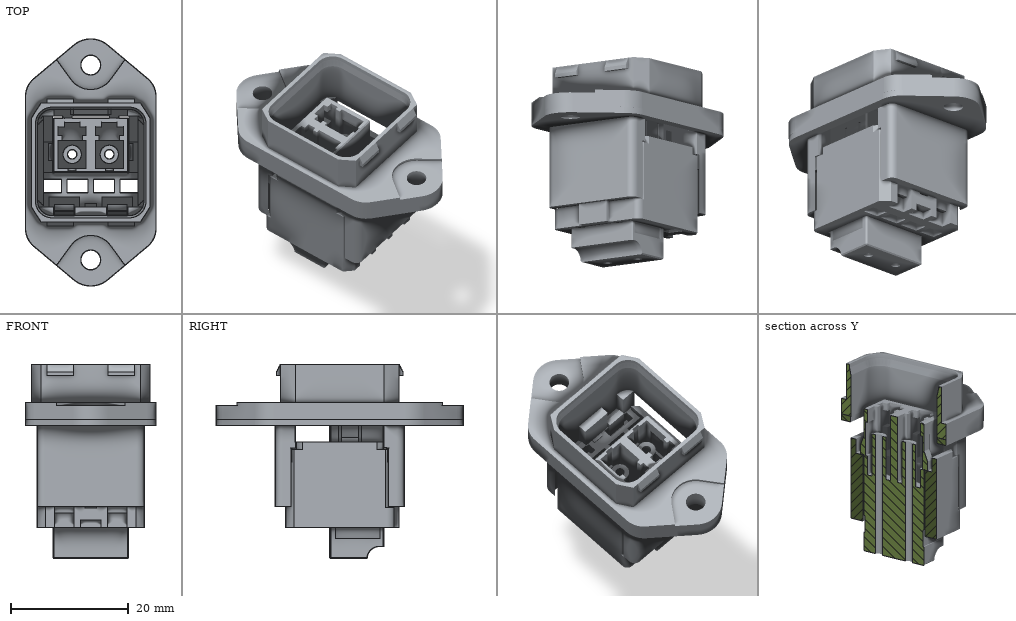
import cadquery as cq
import math

TOTAL_HEIGHT = 33.0
OVERSHOOT = 0.4

FLANGE_WIDTH = 22.2
FLANGE_LENGTH = 42.0
FLANGE_THICKNESS = 2.9
EAR_RADIUS = 4.45
SIDE_SLOPE = 40.0
HOUSING_SIDE_RADIUS = 4.0
GASKET_SIDE_RADIUS = 4.33
GASKET_THICKNESS = 1.05
SCREW_HOLE_DIAMETER = 3.3
SEAT_RADIUS = 4.15
SEAT_DEPTH = 0.5
SEAT_FLANK_ANGLE = 54.0
EAR_CENTER = FLANGE_LENGTH / 2 - EAR_RADIUS
GASKET_TOP = -FLANGE_THICKNESS
GASKET_BOTTOM = GASKET_TOP - GASKET_THICKNESS

SHELL_SIDE = 20.15
SHELL_HEIGHT = 6.45
SHELL_CHAMFER_X = 1.6
SHELL_CHAMFER_Y = 2.55
CAVITY_SIDE = 18.05
CAVITY_RADIUS = 2.5
LIP_DEPTH = 0.67
LIP_INSET = 0.1
MOUTH_SIDE = 18.8
MOUTH_TAPER_DEPTH = 1.3
LATCH_WIDTH = 4.5
LATCH_SPACING = 10.37
LATCH_REACH = 0.67
LATCH_RAMP = 1.3
LATCH_HEIGHT = 1.95

SKIRT_WIDTH = 18.2
SKIRT_LENGTH = 21.92
SKIRT_RADIUS = 1.25
SKIRT_BOTTOM = -17.72
SKIRT_STEP_Z = -7.73
SKIRT_INNER_Y = 7.5
REAR_RELIEF_Y = 7.95
REAR_RELIEF_WIDTH = 16.7
REAR_RELIEF_CHAMFER = 0.25
SKIRT_BORE_CHAMFER = 0.92
FRONT_WINDOW_WIDTH = 3.65
REAR_WINDOW_WIDTH = 12.5
KEY_WIDTH = 1.97
KEY_INNER_Y = 6.97
GUIDE_SPAN = 17.55
GUIDE_BOTTOM = -10.12

CARRIER_WIDTH = SKIRT_WIDTH
CARRIER_HALF_Y = 9.2
CARRIER_CHAMFER = 1.43
CARRIER_ROUND = 1.15
CARRIER_SHOULDER = -8.0
CARRIER_TOP = -6.7
CARRIER_BOTTOM = -21.25
BASE_TOP = -17.85
PLATE_THICKNESS = 1.1
PLATE_LENGTH = 14.6
PLATE_CHAMFER = 1.0
POCKET_WIDTH = 12.95
POCKET_BACK = 7.9
SHELF_EDGE_Y = 3.5
HOOK_SHELF_Z = -9.25
REAR_SHELF_Z = -10.9
WINDOW_FRONT = -5.12
WINDOW_BACK = -2.85
RIB_WIDTH = 0.95
RIB_SPACING = 4.5
FINGER_WIDTH = 3.28
FINGER_SPACING = 9.0
FINGER_FACE_Y = 8.15
FINGER_BACK_Y = 7.15
FINGER_TOP = -6.75
FINGER_LEAD_DROP = 0.2
FINGER_RAMP = 0.65
FINGER_HOOK = 0.85
FINGER_LEAD = 0.15
FINGER_FOOT = -18.77
FLEX_WIDTH = 5.25
FLEX_BACK = 5.9
FLEX_DEPTH = 2.5
KEY_GROOVE_BOTTOM = -17.98
FOOT_NOTCH_WIDTH = 3.45
FOOT_NOTCH_HEIGHT = 1.25
REAR_FINGER_WIDTH = 5.8
REAR_FINGER_FACE_Y = 8.2
REAR_FINGER_HOOK = 0.8
REAR_FINGER_LEAD = 0.3
REAR_CHANNEL_WIDTH = 6.8
REAR_STOP_Y = 10.1
SPACER_WIDTH = 1.65
SPACER_SPACING = 7.95

ADAPTER_WIDTH = 12.85
ADAPTER_FRONT = -1.72
ADAPTER_BACK = 7.5
ADAPTER_TOP = -0.9
ADAPTER_BOTTOM = SHELL_HEIGHT - TOTAL_HEIGHT
ADAPTER_CHAMFER = 0.2
SCOOP_RADIUS = 2.05
SCOOP_CENTER_Y = 6.7
PORT_SPACING = 6.3
PORT_SIDE = 4.75
PORT_CENTER_Y = 1.4
PORT_DEPTH = 11.75
LATCH_SLOT_DEPTH = 8.4
NECK_WIDTH = 3.53
NECK_TOP = 4.6
SHOULDER_TOP = 6.05
CROWN_WIDTH = 2.7
CROWN_TOP = 6.8
LUG_WINDOW_TOP = -2.2
LUG_WINDOW_BOTTOM = -5.12
KEYWAY_WIDTH = 1.35
KEYWAY_REACH = 0.4
KEYWAY_DEPTH = 5.9
SLEEVE_DIAMETER = 3.1
SLEEVE_TOP = -5.05
FERRULE_DIAMETER = 1.55
ARM_CENTER_Y = 1.75
ARM_WIDTH = 2.9
ARM_GROOVE_WIDTH = 0.5
ARM_GROOVE_DEPTH = 0.2
ARM_THICKNESS = 0.45
ARM_TOP = -3.28
HOOK_TOP = -5.92
HOOK_RAMP = 1.7
HOOK_REACH = 0.75
GRIP_FRONT = -0.7
GRIP_BACK = 6.8
GRIP_BOTTOM = -23.15
GRIP_TOP = -20.15
GRIP_DEPTH = 0.2


def block(x0, x1, y0, y1, z0, z1):
    """Box between two opposite corners."""
    size = (x1 - x0, y1 - y0, z1 - z0)
    return cq.Workplane("XY").box(*size, centered=False).translate((x0, y0, z0))


def centered_block(x, width, y0, y1, z0, z1):
    """Box of a given width centred on x."""
    return block(x - width / 2, x + width / 2, y0, y1, z0, z1)


def prism_along_x(points, x, width):
    """(Y, Z) outline swept along X, centred on x."""
    return cq.Workplane("YZ").polyline(points).close().extrude(width / 2, both=True).translate((x, 0, 0))


def rounded_plate(width, length, radius, z0, z1):
    """Upright block with rounded vertical edges."""
    plate = cq.Workplane("XY", origin=(0, 0, z0)).rect(width, length).extrude(z1 - z0)
    return plate.edges("|Z").fillet(radius)


def carrier_body(z0, z1):
    """Block with four chamfered corners, the main cross-section of the carrier."""
    body = centered_block(0, CARRIER_WIDTH, -CARRIER_HALF_Y, CARRIER_HALF_Y, z0, z1)
    return body.edges("|Z").chamfer(CARRIER_CHAMFER)


def flange_plate(side_radius, z0, z1):
    """Six-sided plate with rounded ears at +Y and -Y, rounded sides and two screw holes."""
    slope = math.radians(SIDE_SLOPE)
    half_width = FLANGE_WIDTH / 2
    apex = EAR_CENTER + EAR_RADIUS / math.cos(slope)
    corner_y = apex - half_width * math.tan(slope)
    outline = [
        (half_width, -corner_y),
        (half_width, corner_y),
        (0, apex),
        (-half_width, corner_y),
        (-half_width, -corner_y),
        (0, -apex),
    ]
    plate = cq.Workplane("XY", origin=(0, 0, z0)).polyline(outline).close().extrude(z1 - z0)
    plate = plate.edges("|Z and (>Y or <Y)").fillet(EAR_RADIUS)
    plate = plate.edges("|Z and (>X or <X)").fillet(side_radius)
    ears = [(0, EAR_CENTER), (0, -EAR_CENTER)]
    holes = (
        cq.Workplane("XY", origin=(0, 0, z0)).pushPoints(ears).circle(SCREW_HOLE_DIAMETER / 2)
        .extrude(z1 - z0)
    )
    return plate.cut(holes)


def screw_seat():
    """Shallow recess around the +Y screw hole, opening outwards."""
    opening = math.radians(SEAT_FLANK_ANGLE)
    tangent = (SEAT_RADIUS * math.sin(opening), EAR_CENTER - SEAT_RADIUS * math.cos(opening))
    reach = FLANGE_WIDTH / 2
    far = (tangent[0] + reach * math.cos(opening), tangent[1] + reach * math.sin(opening))
    return (
        cq.Workplane("XY", origin=(0, 0, -SEAT_DEPTH))
        .moveTo(-tangent[0], tangent[1])
        .threePointArc((0, EAR_CENTER - SEAT_RADIUS), tangent)
        .lineTo(*far)
        .lineTo(-far[0], far[1])
        .close()
        .extrude(SEAT_DEPTH + OVERSHOOT)
    )


def shell_block():
    half = SHELL_SIDE / 2
    corner_x = half - SHELL_CHAMFER_X
    corner_y = half - SHELL_CHAMFER_Y
    outline = [
        (half, corner_y), (corner_x, half), (-corner_x, half), (-half, corner_y),
        (-half, -corner_y), (-corner_x, -half), (corner_x, -half), (half, -corner_y),
    ]
    return cq.Workplane("XY").polyline(outline).close().extrude(SHELL_HEIGHT)


def tapered_mouth(side, inset, depth, z_top):
    """Rounded square cutter that narrows by an inset on each side over its depth."""
    radius = CAVITY_RADIUS + (side - CAVITY_SIDE) / 2
    outline = cq.Sketch().rect(side, side).vertices().fillet(radius)
    taper = math.degrees(math.atan2(inset, depth))
    return cq.Workplane("XY", origin=(0, 0, z_top)).placeSketch(outline).extrude(-depth, taper=taper)


def shell_cavity():
    """Opening through shell and flange with a stepped, tapered mouth."""
    lip = tapered_mouth(MOUTH_SIDE, LIP_INSET, LIP_DEPTH, SHELL_HEIGHT)
    throat_side = MOUTH_SIDE - 2 * LIP_INSET
    throat_inset = (throat_side - CAVITY_SIDE) / 2
    throat = tapered_mouth(throat_side, throat_inset, MOUTH_TAPER_DEPTH, SHELL_HEIGHT - LIP_DEPTH)
    well = rounded_plate(CAVITY_SIDE, CAVITY_SIDE, CAVITY_RADIUS, GASKET_TOP, SHELL_HEIGHT)
    return well.union(throat).union(lip)


def shell_latch(x):
    """Ramped catch on the +Y wall of the shell."""
    wall = SHELL_SIDE / 2
    profile = [
        (wall, SHELL_HEIGHT),
        (wall + LATCH_REACH, SHELL_HEIGHT - LATCH_RAMP),
        (wall + LATCH_REACH, SHELL_HEIGHT - LATCH_HEIGHT),
        (wall, SHELL_HEIGHT - LATCH_HEIGHT),
    ]
    return prism_along_x(profile, x, LATCH_WIDTH)


def skirt():
    """Front and rear walls below the flange, open at both X sides, with a key and corner guides."""
    walls = rounded_plate(SKIRT_WIDTH, SKIRT_LENGTH, SKIRT_RADIUS, SKIRT_BOTTOM, GASKET_TOP)
    walls = walls.cut(
        centered_block(0, SKIRT_WIDTH, -SKIRT_INNER_Y, SKIRT_INNER_Y, SKIRT_BOTTOM, GASKET_TOP)
    )
    relief = centered_block(
        0, REAR_RELIEF_WIDTH, 0, REAR_RELIEF_Y, SKIRT_BOTTOM, GASKET_TOP
    ).edges("|Z and >Y").chamfer(REAR_RELIEF_CHAMFER)
    bore = centered_block(
        0, SKIRT_WIDTH, -CARRIER_HALF_Y, CARRIER_HALF_Y, SKIRT_BOTTOM, SKIRT_STEP_Z
    ).edges("|Z").chamfer(SKIRT_BORE_CHAMFER)
    walls = walls.cut(relief).cut(bore)
    half_cavity = CAVITY_SIDE / 2
    for x in (-FINGER_SPACING / 2, FINGER_SPACING / 2):
        walls = walls.cut(
            centered_block(x, FRONT_WINDOW_WIDTH, -half_cavity, 0, SKIRT_STEP_Z, GASKET_TOP)
        )
    walls = walls.cut(
        centered_block(0, REAR_WINDOW_WIDTH, 0, half_cavity, SKIRT_STEP_Z, GASKET_TOP)
    )
    key = centered_block(0, KEY_WIDTH, -CARRIER_HALF_Y, -KEY_INNER_Y, SKIRT_BOTTOM, SKIRT_STEP_Z)
    guides = centered_block(
        0, GUIDE_SPAN, -CARRIER_HALF_Y, CARRIER_HALF_Y, GUIDE_BOTTOM, SKIRT_STEP_Z
    ).cut(carrier_body(GUIDE_BOTTOM, SKIRT_STEP_Z))
    return walls.union(key).union(guides)


def make_housing():
    body = flange_plate(HOUSING_SIDE_RADIUS, GASKET_TOP, 0).union(shell_block())
    seat = screw_seat()
    body = body.cut(seat).cut(seat.mirror("XZ")).cut(shell_cavity())
    for x in (-LATCH_SPACING / 2, LATCH_SPACING / 2):
        latch = shell_latch(x)
        body = body.union(latch).union(latch.mirror("XZ"))
    return body.union(skirt())


def make_gasket():
    plate = flange_plate(GASKET_SIDE_RADIUS, GASKET_BOTTOM, GASKET_TOP)
    return plate.cut(rounded_plate(SKIRT_WIDTH, SKIRT_LENGTH, SKIRT_RADIUS, GASKET_BOTTOM, GASKET_TOP))


def carrier_block():
    """Solid carrier: chamfered body, base with rounded rear corners and two upright side plates."""
    body = carrier_body(BASE_TOP, CARRIER_SHOULDER)
    base = centered_block(
        0, CARRIER_WIDTH, -CARRIER_HALF_Y, CARRIER_HALF_Y, CARRIER_BOTTOM, BASE_TOP
    )
    base = base.edges("|Z and <Y").chamfer(CARRIER_CHAMFER).edges("|Z and >Y").fillet(CARRIER_ROUND)
    plates = centered_block(
        0, CARRIER_WIDTH, -PLATE_LENGTH / 2, PLATE_LENGTH / 2, CARRIER_SHOULDER, CARRIER_TOP
    ).edges("|Z").chamfer(PLATE_CHAMFER)
    inner_width = CARRIER_WIDTH - 2 * PLATE_THICKNESS
    between = centered_block(
        0, inner_width, -PLATE_LENGTH / 2, PLATE_LENGTH / 2, CARRIER_SHOULDER, CARRIER_TOP
    )
    return body.union(base).union(plates.cut(between))


def carrier_openings():
    """Adapter pocket, the shelves beside it and the four windows in front of it."""
    inner_width = CARRIER_WIDTH - 2 * PLATE_THICKNESS
    pocket = centered_block(
        0, POCKET_WIDTH, ADAPTER_FRONT, POCKET_BACK, CARRIER_BOTTOM, CARRIER_SHOULDER
    )
    hook_shelf = centered_block(
        0, inner_width, ADAPTER_FRONT, SHELF_EDGE_Y, HOOK_SHELF_Z, CARRIER_SHOULDER
    )
    rear_shelf = centered_block(
        0, inner_width, SHELF_EDGE_Y, POCKET_BACK, REAR_SHELF_Z, CARRIER_SHOULDER
    )
    windows = centered_block(
        0, inner_width, WINDOW_FRONT, WINDOW_BACK, CARRIER_BOTTOM, CARRIER_SHOULDER
    )
    for x in (-RIB_SPACING, 0, RIB_SPACING):
        windows = windows.cut(
            centered_block(x, RIB_WIDTH, WINDOW_FRONT, WINDOW_BACK, CARRIER_BOTTOM, CARRIER_SHOULDER)
        )
    return pocket.union(hook_shelf).union(rear_shelf).union(windows)


def snap_finger(x, width, back_y, face_y, hook, lead):
    """Upright finger above the shoulder; its hook faces +Y and has a lead-in and a ramp."""
    profile = [
        (back_y, CARRIER_SHOULDER),
        (back_y, FINGER_TOP),
        (face_y, FINGER_TOP),
        (face_y + lead, FINGER_TOP - FINGER_LEAD_DROP),
        (face_y + hook, FINGER_TOP - FINGER_RAMP),
        (face_y + hook, SKIRT_STEP_Z),
        (face_y, SKIRT_STEP_Z),
        (face_y, CARRIER_SHOULDER),
    ]
    return prism_along_x(profile, x, width)


def front_finger_cuts(x):
    """Channel in front of a finger, notch under its foot and room for it to flex behind."""
    channel = centered_block(
        x, FINGER_WIDTH, -CARRIER_HALF_Y, -FINGER_FACE_Y, CARRIER_BOTTOM, CARRIER_SHOULDER
    )
    notch = centered_block(
        x, FINGER_WIDTH, -CARRIER_HALF_Y, -FINGER_BACK_Y, CARRIER_BOTTOM, FINGER_FOOT
    )
    flex_room = centered_block(
        x, FLEX_WIDTH, -SKIRT_INNER_Y, -FLEX_BACK, CARRIER_SHOULDER - FLEX_DEPTH, CARRIER_SHOULDER
    )
    finger_root = centered_block(
        x, FINGER_WIDTH, -SKIRT_INNER_Y, -FINGER_BACK_Y, CARRIER_SHOULDER - FLEX_DEPTH, CARRIER_SHOULDER
    )
    return channel.union(notch).union(flex_room.cut(finger_root))


def make_carrier():
    body = carrier_block().cut(carrier_openings())
    for x in (-FINGER_SPACING / 2, FINGER_SPACING / 2):
        finger = snap_finger(x, FINGER_WIDTH, FINGER_BACK_Y, FINGER_FACE_Y, FINGER_HOOK, FINGER_LEAD)
        body = body.cut(front_finger_cuts(x)).union(finger.mirror("XZ"))
    key_groove = centered_block(
        0, KEY_WIDTH, -CARRIER_HALF_Y, -KEY_INNER_Y, KEY_GROOVE_BOTTOM, CARRIER_SHOULDER
    )
    foot_notch = centered_block(
        0, FOOT_NOTCH_WIDTH, -CARRIER_HALF_Y, -FINGER_BACK_Y,
        CARRIER_BOTTOM, CARRIER_BOTTOM + FOOT_NOTCH_HEIGHT,
    )
    body = body.cut(key_groove).cut(foot_notch)
    rear_channel = centered_block(
        0, REAR_CHANNEL_WIDTH, REAR_FINGER_FACE_Y, CARRIER_HALF_Y, BASE_TOP, CARRIER_SHOULDER
    )
    rear_finger = snap_finger(
        0, REAR_FINGER_WIDTH, POCKET_BACK, REAR_FINGER_FACE_Y, REAR_FINGER_HOOK, REAR_FINGER_LEAD
    )
    body = body.cut(rear_channel).union(rear_finger)
    rear_stop = centered_block(
        0, REAR_FINGER_WIDTH, POCKET_BACK, REAR_STOP_Y, CARRIER_BOTTOM, SKIRT_BOTTOM
    )
    body = body.union(rear_stop)
    for x in (-SPACER_SPACING / 2, SPACER_SPACING / 2):
        body = body.union(
            centered_block(x, SPACER_WIDTH, ADAPTER_BACK, POCKET_BACK, CARRIER_BOTTOM, CARRIER_SHOULDER)
        )
    return body


def adapter_port(x):
    """Plug opening with its latch slot, lug windows, keyway and ferrule sleeve."""
    floor = ADAPTER_TOP - PORT_DEPTH
    slot_floor = ADAPTER_TOP - LATCH_SLOT_DEPTH
    top = ADAPTER_TOP
    port_front = PORT_CENTER_Y - PORT_SIDE / 2
    port_back = PORT_CENTER_Y + PORT_SIDE / 2
    sleeve = (
        cq.Workplane("XY", origin=(x, PORT_CENTER_Y, floor)).circle(SLEEVE_DIAMETER / 2)
        .extrude(SLEEVE_TOP - floor)
    )
    ferrule = (
        cq.Workplane("XY", origin=(x, PORT_CENTER_Y, ADAPTER_BOTTOM)).circle(FERRULE_DIAMETER / 2)
        .extrude(top - ADAPTER_BOTTOM)
    )
    port = centered_block(x, PORT_SIDE, port_front, port_back, floor, top)
    port = port.union(
        centered_block(x, KEYWAY_WIDTH, port_front - KEYWAY_REACH, port_front, top - KEYWAY_DEPTH, top)
    )
    port = port.union(centered_block(x, NECK_WIDTH, port_back, NECK_TOP, slot_floor, top))
    port = port.union(centered_block(x, PORT_SIDE, NECK_TOP, SHOULDER_TOP, slot_floor, top))
    port = port.union(centered_block(x, CROWN_WIDTH, SHOULDER_TOP, CROWN_TOP, slot_floor, top))
    lug_width = (PORT_SIDE - CROWN_WIDTH) / 2
    for side in (-1, 1):
        lug_x = x + side * (CROWN_WIDTH + lug_width) / 2
        port = port.union(
            centered_block(lug_x, lug_width, SHOULDER_TOP, ADAPTER_BACK, LUG_WINDOW_BOTTOM, LUG_WINDOW_TOP)
        )
    return port.cut(sleeve).union(ferrule)


def side_arm_cuts():
    """Two grooves that outline the latch arm on the +X wall and the hollow behind the arm."""
    wall = ADAPTER_WIDTH / 2
    groove_floor = wall - ARM_GROOVE_DEPTH
    groove_offset = (ARM_WIDTH + ARM_GROOVE_WIDTH) / 2
    port_wall = (PORT_SPACING + PORT_SIDE) / 2
    port_back = PORT_CENTER_Y + PORT_SIDE / 2
    hollow_front = ARM_CENTER_Y - ARM_WIDTH / 2 - ARM_GROOVE_WIDTH
    cuts = block(port_wall, wall - ARM_THICKNESS, hollow_front, port_back, HOOK_SHELF_Z, ARM_TOP)
    for y in (ARM_CENTER_Y - groove_offset, ARM_CENTER_Y + groove_offset):
        groove_front = y - ARM_GROOVE_WIDTH / 2
        groove_back = y + ARM_GROOVE_WIDTH / 2
        cuts = cuts.union(block(groove_floor, wall, groove_front, groove_back, HOOK_SHELF_Z, ARM_TOP))
    return cuts


def side_hook():
    """Ramped hook on the +X latch arm that rests on the carrier shelf."""
    wall = ADAPTER_WIDTH / 2
    profile = [
        (wall - ARM_THICKNESS, HOOK_TOP),
        (wall, HOOK_TOP),
        (wall + HOOK_REACH, HOOK_TOP - HOOK_RAMP),
        (wall + HOOK_REACH, HOOK_SHELF_Z),
        (wall - ARM_THICKNESS, HOOK_SHELF_Z),
    ]
    hook = cq.Workplane("XZ").polyline(profile).close().extrude(ARM_WIDTH / 2, both=True)
    return hook.translate((0, ARM_CENTER_Y, 0))


def make_adapter():
    wall = ADAPTER_WIDTH / 2
    body = centered_block(0, ADAPTER_WIDTH, ADAPTER_FRONT, ADAPTER_BACK, ADAPTER_BOTTOM, ADAPTER_TOP)
    body = body.edges("|Z or <Z or (>Z and (not >Y))").chamfer(ADAPTER_CHAMFER)
    scoop_bottom = ADAPTER_BOTTOM
    scoop = (
        cq.Workplane("YZ", origin=(-wall, 0, 0))
        .center(SCOOP_CENTER_Y, scoop_bottom)
        .circle(SCOOP_RADIUS)
        .extrude(ADAPTER_WIDTH)
    )
    heel = centered_block(
        0, ADAPTER_WIDTH, SCOOP_CENTER_Y, ADAPTER_BACK, scoop_bottom, scoop_bottom + SCOOP_RADIUS
    )
    body = body.cut(scoop).cut(heel)
    for x in (-PORT_SPACING / 2, PORT_SPACING / 2):
        body = body.cut(adapter_port(x))
    grip = block(wall - GRIP_DEPTH, wall, GRIP_FRONT, GRIP_BACK, GRIP_BOTTOM, GRIP_TOP)
    cuts = side_arm_cuts().union(grip)
    hook = side_hook()
    body = body.cut(cuts).cut(cuts.mirror("YZ"))
    return body.union(hook).union(hook.mirror("YZ"))


housing = make_housing()
gasket = make_gasket()
carrier = make_carrier()
adapter = make_adapter()

bodies = [body.solids().val() for body in (housing, gasket, carrier, adapter)]
result = cq.Compound.makeCompound(bodies)